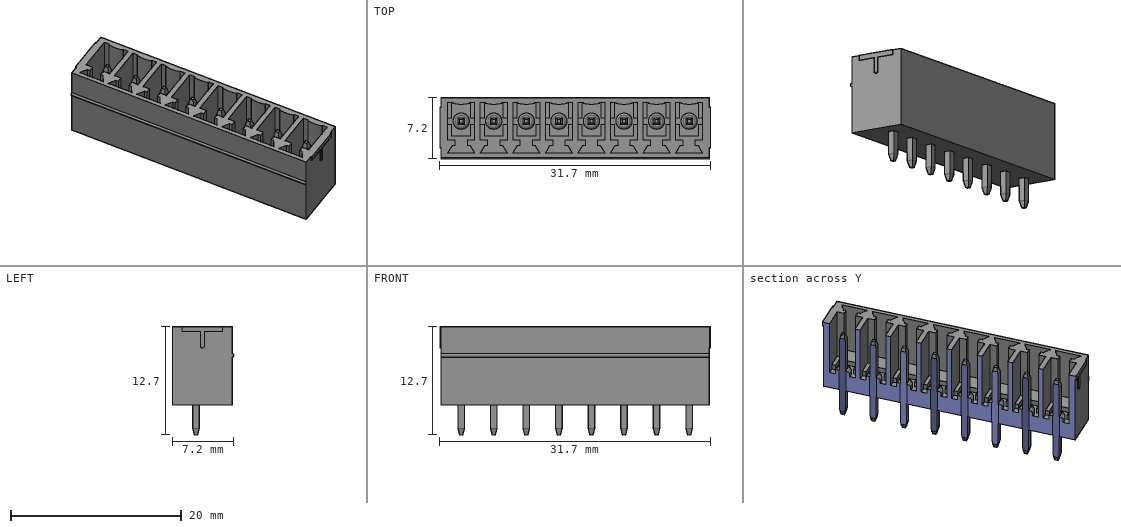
import cadquery as cq


OVERALL_LENGTH = 31.67
END_RIB_THICKNESS = 0.13
LENGTH = OVERALL_LENGTH - 2 * END_RIB_THICKNESS
DEPTH = 7.0
HEIGHT = 9.2
BACK_Y = 2.75
FRONT_Y = BACK_Y - DEPTH
MIDDLE_Y = (BACK_Y + FRONT_Y) / 2

PIN_COUNT = 8
END_DISTANCE = 2.38
PITCH = (LENGTH - 2 * END_DISTANCE) / (PIN_COUNT - 1)
PIN_X = [PITCH * (i - (PIN_COUNT - 1) / 2) for i in range(PIN_COUNT)]

CAVITY_WIDTH = 3.17
BACK_WALL = 0.57
CAVITY_BACK_Y = BACK_Y - BACK_WALL
CAVITY_LENGTH = 4.4
CAVITY_FRONT_Y = CAVITY_BACK_Y - CAVITY_LENGTH
CAVITY_DEPTH = 6.33
FLOOR_Z = HEIGHT - CAVITY_DEPTH

BULGE_WIDTH = 1.9
BULGE_STEP = 0.1
BULGE_RISE = 0.22

NECK_WIDTH = 1.43
NECK_LENGTH = 0.63
DOVETAIL_MOUTH = 2.1
DOVETAIL_LENGTH = 0.9
SHOULDER_Y = CAVITY_FRONT_Y - NECK_LENGTH
DOVETAIL_FRONT_Y = SHOULDER_Y - DOVETAIL_LENGTH

RECESS_DEPTH = 0.63
RECESS_WIDTH = 2.22
RECESS_LENGTH = 3.93
CROSS_SLOT_WIDTH = 0.75
RECESS_Z = FLOOR_Z - RECESS_DEPTH

BOSS_DIAMETER = 1.9
BOSS_HEIGHT = RECESS_DEPTH
BOSS_ROUNDING = 0.25

BEAD_RADIUS = 0.22
BEAD_PROTRUSION = 0.2
BEAD_DROP = 3.4

END_BAR_LENGTH = 4.75
END_BAR_HEIGHT = 0.6
END_STEM_WIDTH = 0.48
END_STEM_REACH = 2.5

PIN_SIZE = 0.8
PIN_TIP_SIZE = 0.38
PIN_TAPER = 0.8
PIN_TAIL = 3.5
PIN_TOP_DROP = 1.3
PIN_BOTTOM_Z = -PIN_TAIL
PIN_TOP_Z = HEIGHT - PIN_TOP_DROP


def make_cavity(x):
    """Upright opening of one contact: bulged back wall, side walls, neck and dovetail."""
    half = CAVITY_WIDTH / 2
    neck = NECK_WIDTH / 2
    mouth = DOVETAIL_MOUTH / 2
    bulge = BULGE_WIDTH / 2
    step_y = CAVITY_BACK_Y - BULGE_STEP
    return (
        cq.Workplane("XY", origin=(x, 0, FLOOR_Z))
        .moveTo(-half, CAVITY_BACK_Y)
        .lineTo(-bulge, CAVITY_BACK_Y)
        .lineTo(-bulge, step_y)
        .threePointArc((0, CAVITY_BACK_Y - BULGE_RISE), (bulge, step_y))
        .lineTo(bulge, CAVITY_BACK_Y)
        .lineTo(half, CAVITY_BACK_Y)
        .lineTo(half, CAVITY_FRONT_Y)
        .lineTo(neck, CAVITY_FRONT_Y)
        .lineTo(neck, SHOULDER_Y)
        .lineTo(mouth, SHOULDER_Y)
        .lineTo(half, DOVETAIL_FRONT_Y)
        .lineTo(-half, DOVETAIL_FRONT_Y)
        .lineTo(-mouth, SHOULDER_Y)
        .lineTo(-neck, SHOULDER_Y)
        .lineTo(-neck, CAVITY_FRONT_Y)
        .lineTo(-half, CAVITY_FRONT_Y)
        .close()
        .extrude(CAVITY_DEPTH)
    )


def make_floor_recess(x):
    """Channel and cross slot sunk into the cavity floor, stopped at the bulged back wall."""
    channel_y = CAVITY_BACK_Y - RECESS_LENGTH / 2
    channel = (
        cq.Workplane("XY", origin=(x, channel_y, RECESS_Z))
        .rect(RECESS_WIDTH, RECESS_LENGTH)
        .extrude(RECESS_DEPTH)
    )
    cross_slot = (
        cq.Workplane("XY", origin=(x, 0, RECESS_Z))
        .rect(CAVITY_WIDTH, CROSS_SLOT_WIDTH)
        .extrude(RECESS_DEPTH)
    )
    outline = make_cavity(x).translate((0, 0, -RECESS_DEPTH))
    return channel.union(cross_slot).intersect(outline)


def make_boss(x):
    """Round boss on the recess floor with a rounded rim."""
    return (
        cq.Workplane("XY", origin=(x, 0, RECESS_Z))
        .circle(BOSS_DIAMETER / 2)
        .extrude(BOSS_HEIGHT)
        .faces(">Z")
        .edges()
        .fillet(BOSS_ROUNDING)
    )


def make_bead():
    """Half-round bead along the whole front face."""
    center_y = FRONT_Y + BEAD_RADIUS - BEAD_PROTRUSION
    return (
        cq.Workplane("YZ", origin=(-LENGTH / 2, center_y, HEIGHT - BEAD_DROP))
        .circle(BEAD_RADIUS)
        .extrude(LENGTH)
    )


def make_end_ribs():
    """T-shaped ribs for both ends, drawn through the block so that each end stands proud."""
    bar = (
        cq.Workplane("XY", origin=(0, MIDDLE_Y, HEIGHT - END_BAR_HEIGHT))
        .rect(OVERALL_LENGTH, END_BAR_LENGTH)
        .extrude(END_BAR_HEIGHT)
    )
    half = END_STEM_WIDTH / 2
    round_start_z = HEIGHT - END_STEM_REACH + half
    stem = (
        cq.Workplane("YZ", origin=(-OVERALL_LENGTH / 2, MIDDLE_Y, 0))
        .moveTo(-half, HEIGHT)
        .lineTo(-half, round_start_z)
        .threePointArc((0, HEIGHT - END_STEM_REACH), (half, round_start_z))
        .lineTo(half, HEIGHT)
        .close()
        .extrude(OVERALL_LENGTH)
    )
    return bar.union(stem)


def make_pin_shaft(x):
    """Square shaft of one pin over its full height, without the tapered tips."""
    return (
        cq.Workplane("XY", origin=(x, 0, PIN_BOTTOM_Z))
        .rect(PIN_SIZE, PIN_SIZE)
        .extrude(PIN_TOP_Z - PIN_BOTTOM_Z)
    )


def make_pin(x):
    """Square pin with a tapered tip at each end."""
    shaft_bottom_z = PIN_BOTTOM_Z + PIN_TAPER
    shaft_top_z = PIN_TOP_Z - PIN_TAPER
    shaft = (
        cq.Workplane("XY", origin=(x, 0, shaft_bottom_z))
        .rect(PIN_SIZE, PIN_SIZE)
        .extrude(shaft_top_z - shaft_bottom_z)
    )
    top_tip = (
        cq.Workplane("XY", origin=(x, 0, shaft_top_z))
        .rect(PIN_SIZE, PIN_SIZE)
        .workplane(offset=PIN_TAPER)
        .rect(PIN_TIP_SIZE, PIN_TIP_SIZE)
        .loft()
    )
    bottom_tip = (
        cq.Workplane("XY", origin=(x, 0, shaft_bottom_z))
        .rect(PIN_SIZE, PIN_SIZE)
        .workplane(offset=-PIN_TAPER)
        .rect(PIN_TIP_SIZE, PIN_TIP_SIZE)
        .loft()
    )
    return shaft.union(top_tip).union(bottom_tip)


def make_housing():
    """Block with bead and end ribs, cut by the cavities and by the holes that hold the pins."""
    housing = (
        cq.Workplane("XY", origin=(0, MIDDLE_Y, 0))
        .rect(LENGTH, DEPTH)
        .extrude(HEIGHT)
        .union(make_bead())
        .union(make_end_ribs())
    )
    for x in PIN_X:
        housing = (
            housing.cut(make_cavity(x))
            .cut(make_floor_recess(x))
            .union(make_boss(x))
            .cut(make_pin_shaft(x))
        )
    return housing


housing = make_housing()
pins = [make_pin(x) for x in PIN_X]

result = cq.Compound.makeCompound([housing.val(), *[pin.val() for pin in pins]])